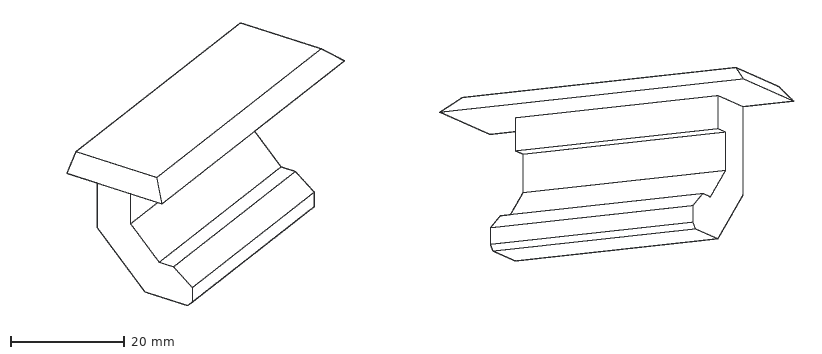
import cadquery as cq

width = 20.0
length = 60.0
height = 29.0

plate_thickness = 3.0
plate_bottom = height - plate_thickness

body_length = 40.0
wall = 7.0
outer_bevel = 10.0
inner_bevel = 6.0
neck_width = 10.0
neck_height = 6.0
toe_chamfer = 1.0
toe_height = 4.0
toe_slope_run = 3.95


def make_plate():
    """Plate with bevels on both ends and on the front edge."""
    side_section = (
        cq.Workplane("XZ")
        .polyline([
            (0, plate_bottom),
            (width, plate_bottom),
            (width - plate_thickness, height),
            (0, height),
        ])
        .close()
        .extrude(length / 2, both=True)
    )
    end_section = (
        cq.Workplane("YZ")
        .polyline([
            (-length / 2, plate_bottom),
            (length / 2, plate_bottom),
            (length / 2 - plate_thickness, height),
            (-length / 2 + plate_thickness, height),
        ])
        .close()
        .extrude(width)
    )
    return side_section.intersect(end_section)


def make_hook():
    """Constant-section hook, centered along Y."""
    neck_bottom = plate_bottom - neck_height
    return (
        cq.Workplane("XZ")
        .polyline([
            (0, plate_bottom),
            (0, outer_bevel),
            (outer_bevel, 0),
            (width - toe_chamfer, 0),
            (width, toe_chamfer),
            (width, toe_height),
            (width - toe_slope_run, wall),
            (wall + inner_bevel, wall),
            (wall, wall + inner_bevel),
            (wall, neck_bottom),
            (neck_width, neck_bottom),
            (neck_width, plate_bottom),
        ])
        .close()
        .extrude(body_length / 2, both=True)
    )


result = make_plate().union(make_hook())